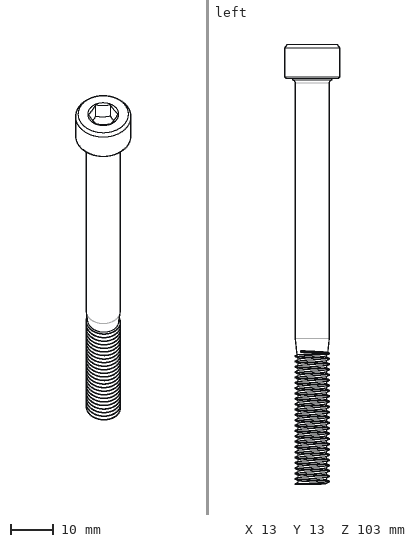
import cadquery as cq
import math

total_length = 103.0
head_diameter = 13.0
head_height = 8.0
shank_diameter = 8.0

head_top_chamfer_width = 0.6
head_top_chamfer_height = 0.8
head_bottom_chamfer = 0.4
neck_diameter = 9.2
neck_height = 1.0
neck_rim_height = 0.3

socket_flats = 6.0
socket_depth = 4.0
socket_entry_diameter = 7.2
socket_entry_depth = 0.3
socket_tip_angle = 120.0

thread_length = 31.1
thread_turns = 24.9
thread_pitch = thread_length / thread_turns
thread_root_diameter = 6.7
core_bottom_z = 0.2
ridge_root_width = 0.65 * thread_pitch
ridge_crest_width = thread_pitch / 8
ridge_overlap = 0.1
ridge_start_angle = 100.0
ridge_start_z = 0.0

shank_end_z = 34.2
runout_end_diameter = 7.2
runout_end_z = 30.4

head_radius = head_diameter / 2
shank_radius = shank_diameter / 2
thread_root_radius = thread_root_diameter / 2
runout_radius = runout_end_diameter / 2
head_bottom_z = total_length - head_height


def make_blank():
    """Revolve the head, shank and run-out as one body.

    The profile lies in YZ so its seam stays clear of where the thread ridge emerges.
    """
    profile = (
        cq.Workplane("YZ")
        .moveTo(0, runout_end_z)
        .lineTo(runout_radius, runout_end_z)
        .lineTo(shank_radius, shank_end_z)
        .lineTo(shank_radius, head_bottom_z - neck_height)
        .tangentArcPoint((neck_diameter / 2, head_bottom_z - neck_rim_height), relative=False)
        .lineTo(neck_diameter / 2, head_bottom_z)
        .lineTo(head_radius - head_bottom_chamfer, head_bottom_z)
        .lineTo(head_radius, head_bottom_z + head_bottom_chamfer)
        .lineTo(head_radius, total_length - head_top_chamfer_height)
        .lineTo(head_radius - head_top_chamfer_width, total_length)
        .lineTo(0, total_length)
        .close()
    )
    return profile.revolve(360, (0, 0, 0), (0, 1, 0))


def make_socket():
    """Hexagon pocket with a conical floor and a chamfered entry."""
    corner_radius = socket_flats / 2 / math.cos(math.pi / 6)
    tip_depth = corner_radius / math.tan(math.radians(socket_tip_angle / 2))
    corner_floor_z = total_length - socket_depth
    hexagon = (
        cq.Workplane("XY", origin=(0, 0, corner_floor_z - tip_depth))
        .transformed(rotate=(0, 0, 90))
        .polygon(6, 2 * corner_radius)
        .extrude(socket_depth + tip_depth)
    )
    pointed_bore = (
        cq.Workplane("XZ")
        .moveTo(0, corner_floor_z - tip_depth)
        .lineTo(corner_radius, corner_floor_z)
        .lineTo(corner_radius, total_length)
        .lineTo(0, total_length)
        .close()
        .revolve(360, (0, 0, 0), (0, 1, 0))
    )
    entry = cq.Workplane(
        cq.Solid.makeCone(
            socket_flats / 2,
            socket_entry_diameter / 2,
            socket_entry_depth,
            cq.Vector(0, 0, total_length - socket_entry_depth),
        )
    )
    return hexagon.intersect(pointed_bore).union(entry)


def make_thread_ridge():
    """Sweep the trapezoid ridge section along a left-hand helix."""
    inner_radius = thread_root_radius - ridge_overlap
    flank_spread = (ridge_root_width - ridge_crest_width) / (shank_radius - thread_root_radius)
    ridge_base_width = ridge_root_width + ridge_overlap * flank_spread
    path = cq.Wire.makeHelix(thread_pitch, thread_length, thread_root_radius, lefthand=True)
    section = (
        cq.Workplane("XZ")
        .moveTo(inner_radius, -ridge_base_width / 2)
        .lineTo(shank_radius, -ridge_crest_width / 2)
        .lineTo(shank_radius, ridge_crest_width / 2)
        .lineTo(inner_radius, ridge_base_width / 2)
        .close()
    )
    ridge = section.sweep(cq.Workplane(path), isFrenet=True)
    return ridge.rotate((0, 0, 0), (0, 0, 1), ridge_start_angle).translate((0, 0, ridge_start_z))


def make_thread():
    """Thread core with its ridge; the core reaches up into the run-out."""
    core = (
        cq.Workplane("XY", origin=(0, 0, core_bottom_z))
        .circle(thread_root_radius)
        .extrude(thread_length)
    )
    below_bottom = cq.Workplane("XY").circle(head_radius).extrude(-thread_pitch)
    return core.union(make_thread_ridge()).cut(below_bottom)


result = make_thread().union(make_blank()).cut(make_socket())